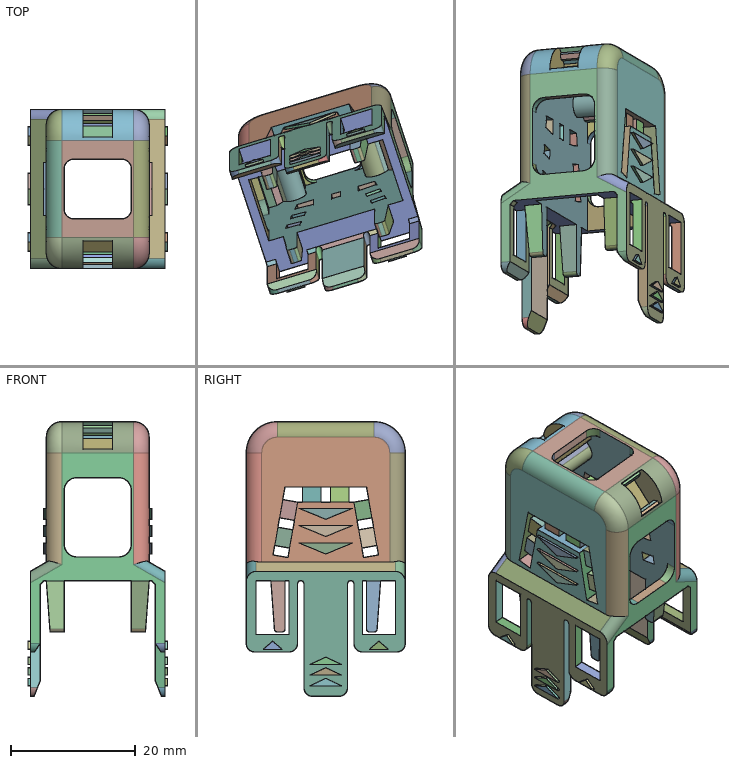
import cadquery as cq
import math

body_width = 16.5
body_depth = 25.5
body_height = 25.5
crown_radius = 5.0
edge_radius = 2.5

wall = 1.5
cavity_width = 10.7

front_window_bottom = 3.85
front_window_top = 16.5
front_window_radius = 2.0
top_window_depth = 9.5
top_window_radius = 1.5

skirt_width = 21.6
skirt_slope = 30.0
skirt_slope_top = 3.0
skirt_edge_radius = 1.6
leg_thickness = 1.6
leg_top = -0.75
leg_root_chamfer = 0.6

centre_leg_width = 7.0
centre_leg_length = 18.5
centre_leg_taper_height = 2.5
centre_leg_taper = 1.0
side_leg_length = 11.4
side_leg_taper_height = 1.4
side_leg_taper = 0.95
leg_gap = 1.0
leg_corner_radius = 1.4
leg_window_inner = 5.9
leg_window_outer = 11.15
leg_window_height = 8.55

prong_length = 8.2
prong_inner_y = 6.5
prong_root_y = 8.8
prong_tip_y = 8.2
prong_tip_x = 7.65
prong_tip_radius = 0.5

tongue_top_width = 9.0
tongue_top = 12.6
tongue_angle = 10.0
tongue_slot = 2.4
tongue_slot_length = 11.0
bridge_length = 3.0
bridge_gap = 1.5
bridge_recess = 1.0

arrow_relief = 0.4
tongue_arrow_size = (8.5, 1.75)
tongue_arrow_tops = (11.6, 8.85, 6.05)
leg_arrow_size = (5.1, 1.2)
leg_arrow_bases = (-13.4, -15.1, -16.8)
side_arrow_size = (3.0, 1.3)
side_arrow_base = -10.95
side_arrow_y = 8.5

pocket_width = 4.8
pocket_step_behind = 5.0
pocket_step_below = 0.65
pocket_step = 0.35
pocket_throat_behind = 4.95
pocket_throat_below = 1.8
pocket_undercut_start = 5.85
pocket_floor = 6.3
pocket_floor_below = 2.7
block_face = 7.65
block_lip = 2.85
rib_radius = 1.9
rib_centre = 5.9

half_body = body_width / 2
half_depth = body_depth / 2
half_cavity = cavity_width / 2
half_skirt = skirt_width / 2
leg_inner_x = half_skirt - leg_thickness
slope = math.tan(math.radians(skirt_slope))
overlap = 0.5


def mirrored_x(shape):
    return shape.union(shape.mirror("YZ"))


def mirrored_y(shape):
    return shape.union(shape.mirror("XZ"))


def side_prism(points, x_start, x_end):
    """Prism along X from an outline of (y, z) points."""
    return cq.Workplane("YZ", origin=(x_start, 0, 0)).polyline(points).close().extrude(x_end - x_start)


def side_box(y_min, y_max, z_min, z_max, x_start, x_end):
    points = [(y_min, z_min), (y_max, z_min), (y_max, z_max), (y_min, z_max)]
    return side_prism(points, x_start, x_end)


def crown_point(behind_front, below_top):
    """(y, z) of a point measured from the sharp top front corner."""
    return (behind_front - half_depth, body_height - below_top)


def body_shell():
    return (
        cq.Workplane("XY")
        .box(body_width, body_depth, body_height, centered=(True, True, False))
        .edges(">Z and |X").fillet(crown_radius)
        .faces("<X or >X").edges("not <Z").fillet(edge_radius)
    )


def skirt():
    peak = skirt_slope_top + (half_body - half_cavity) * slope
    edge = skirt_slope_top - (half_skirt - half_body) * slope
    outline = [
        (-half_skirt, edge), (-half_cavity, peak), (half_cavity, peak), (half_skirt, edge),
        (half_skirt, leg_top), (leg_inner_x, leg_top), (leg_inner_x, -leg_root_chamfer),
        (leg_inner_x - leg_root_chamfer, 0), (leg_root_chamfer - leg_inner_x, 0),
        (-leg_inner_x, -leg_root_chamfer), (-leg_inner_x, leg_top), (-half_skirt, leg_top),
    ]
    solid = cq.Workplane("XZ", origin=(0, half_depth, 0)).polyline(outline).close().extrude(body_depth)
    middle = (half_skirt + half_cavity) / 2
    middle_z = skirt_slope_top + (half_body - middle) * slope
    for x in (-middle, middle):
        for y in (-half_depth, half_depth):
            solid = solid.edges(cq.selectors.NearestToPointSelector((x, y, middle_z))).fillet(skirt_edge_radius)
    return solid


def cavity():
    inner_y = half_depth - wall
    room = side_box(-inner_y, inner_y, -overlap, body_height - wall, -half_cavity, half_cavity)
    return room.edges(">Z and |X").fillet(crown_radius - wall)


def crown_block():
    """Fills the top front corner of the cavity and carries a rounded rib."""
    block = side_prism(
        [crown_point(wall, block_lip), crown_point(block_lip, wall), crown_point(block_face, wall),
         crown_point(block_face, block_lip), crown_point(block_lip, block_face),
         crown_point(wall, block_face)],
        -half_cavity, half_cavity)
    reach = rib_radius / math.sqrt(2)
    root = rib_centre - rib_radius
    tip = rib_centre + reach
    rib = (
        cq.Workplane("YZ", origin=(-half_cavity, 0, 0))
        .moveTo(*crown_point(root + reach, root - reach))
        .lineTo(*crown_point(rib_centre + reach, rib_centre - reach))
        .threePointArc(crown_point(tip, tip), crown_point(rib_centre - reach, rib_centre + reach))
        .lineTo(*crown_point(root - reach, root + reach))
        .close().extrude(cavity_width)
    )
    return block.union(rib)


def crown_pocket():
    """Stepped undercut pocket, symmetric about the 45 degree line through the corner."""
    undercut = pocket_floor - pocket_undercut_start
    upper = [
        (pocket_step_behind - crown_radius, pocket_step_below - crown_radius),
        (pocket_step_behind, pocket_step_below),
        (pocket_step_behind - pocket_step, pocket_step_below + pocket_step),
        (pocket_throat_behind, pocket_throat_below),
        (pocket_undercut_start, pocket_throat_below),
        (pocket_floor, pocket_throat_below + undercut),
        (pocket_floor, pocket_floor_below),
    ]
    lower = [(below, behind) for behind, below in reversed(upper)]
    points = [crown_point(*p) for p in upper + lower]
    return side_prism(points, -pocket_width / 2, pocket_width / 2)


def front_windows():
    height = front_window_top - front_window_bottom
    return (
        cq.Workplane("XY").box(cavity_width, 2 * body_depth, height)
        .edges("|Y").fillet(front_window_radius)
        .translate((0, 0, front_window_bottom + height / 2))
    )


def top_window():
    return (
        cq.Workplane("XY").box(cavity_width, top_window_depth, 4 * wall)
        .edges("|Z").fillet(top_window_radius)
        .translate((0, 0, body_height))
    )


def tongue_slots():
    """Slot around the tongue on the +X side, bridged near the cavity."""
    lean = math.radians(tongue_angle)
    slot_top = tongue_top + tongue_slot
    top_y = tongue_top_width / 2 + tongue_slot / math.cos(lean) - tongue_slot * math.tan(lean)

    def slot_point(along, across):
        """Point at a distance up from the slot's lower end and in from its outer edge."""
        down = tongue_slot_length - along
        y = top_y + down * math.sin(lean) - across * math.cos(lean)
        z = slot_top - down * math.cos(lean) - across * math.sin(lean)
        return (y, z)

    inner_top = (tongue_top_width / 2, tongue_top)
    half_outline = [(0, tongue_top), inner_top, slot_point(0, tongue_slot), slot_point(0, 0),
                    (top_y, slot_top), (0, slot_top)]
    slot = side_prism(half_outline, half_cavity - overlap, half_body + overlap)

    bridge_end = half_body - bridge_recess
    bridges = side_box(bridge_gap / 2, bridge_gap / 2 + bridge_length, tongue_top - overlap,
                       slot_top + overlap, half_cavity, bridge_end)
    for along in (bridge_gap, 2 * bridge_gap + bridge_length):
        top = along + bridge_length
        corners = [slot_point(along, -overlap), slot_point(top, -overlap),
                   slot_point(top, tongue_slot + overlap), slot_point(along, tongue_slot + overlap)]
        bridges = bridges.union(side_prism(corners, half_cavity, bridge_end))
    return mirrored_y(slot.cut(bridges))


def leg(y_min, y_max, length, taper_height, taper):
    """One +X leg, below the skirt, with rounded lower corners and an inner taper at its tip."""
    plate = side_box(y_min, y_max, -length, leg_top, leg_inner_x, half_skirt)
    plate = plate.edges("<Z and |X").fillet(leg_corner_radius)
    wedge = (
        cq.Workplane("XZ", origin=(0, y_max, 0))
        .polyline([(leg_inner_x, taper_height - length), (leg_inner_x + taper, -length), (leg_inner_x, -length)])
        .close().extrude(y_max - y_min)
    )
    return plate.cut(wedge)


def legs():
    """The three +X legs."""
    half_centre = centre_leg_width / 2
    centre = leg(-half_centre, half_centre, centre_leg_length, centre_leg_taper_height, centre_leg_taper)
    side = leg(half_centre + leg_gap, half_depth, side_leg_length, side_leg_taper_height, side_leg_taper)
    return centre.union(mirrored_y(side))


def leg_openings():
    """Side leg windows and the round-topped gaps beside the +X centre leg."""
    x_start = leg_inner_x - leg_root_chamfer
    x_end = half_skirt + overlap
    window = side_box(leg_window_inner, leg_window_outer, -leg_window_height, 0, x_start, x_end)
    gap_start = centre_leg_width / 2
    gap_end = gap_start + leg_gap
    gap_radius = leg_gap / 2
    gap = (
        cq.Workplane("YZ", origin=(x_start, 0, 0))
        .moveTo(gap_start, -side_leg_length)
        .lineTo(gap_start, -gap_radius)
        .threePointArc((gap_start + gap_radius, 0), (gap_end, -gap_radius))
        .lineTo(gap_end, -side_leg_length)
        .close().extrude(x_end - x_start)
    )
    return mirrored_y(window.union(gap))


def prong():
    """Tapered prong at +X, +Y."""
    side = side_prism(
        [(prong_inner_y, overlap), (prong_root_y, overlap), (prong_root_y, 0),
         (prong_tip_y, -prong_length), (prong_inner_y, -prong_length)],
        half_cavity, half_body)
    side = side.edges("<Z and |X").fillet(prong_tip_radius)
    front = (
        cq.Workplane("XZ", origin=(0, prong_root_y, 0))
        .polyline([(half_cavity, overlap), (half_body, overlap), (half_body, 0),
                   (prong_tip_x, -prong_length), (half_cavity, -prong_length)])
        .close().extrude(prong_root_y - prong_inner_y)
    )
    return side.intersect(front)


def arrow(size, y, base_z, direction, x_face):
    """Raised triangle on a +X face; direction is 1 for up and -1 for down."""
    base, height = size
    points = [(y - base / 2, base_z), (y + base / 2, base_z), (y, base_z + direction * height)]
    return side_prism(points, x_face - overlap, x_face + arrow_relief)


def arrows():
    marks = arrow(side_arrow_size, side_arrow_y, side_arrow_base, 1, half_skirt)
    marks = mirrored_y(marks)
    for z in leg_arrow_bases:
        marks = marks.union(arrow(leg_arrow_size, 0, z, 1, half_skirt))
    for z in tongue_arrow_tops:
        marks = marks.union(arrow(tongue_arrow_size, 0, z, -1, half_body))
    return marks


result = (
    body_shell()
    .union(skirt())
    .union(mirrored_x(legs()))
    .cut(cavity())
    .cut(front_windows())
    .cut(top_window())
    .cut(mirrored_x(leg_openings()))
    .union(mirrored_y(crown_block()))
    .cut(mirrored_y(crown_pocket()))
    .cut(mirrored_x(tongue_slots()))
    .union(mirrored_x(mirrored_y(prong())))
    .union(mirrored_x(arrows()))
)